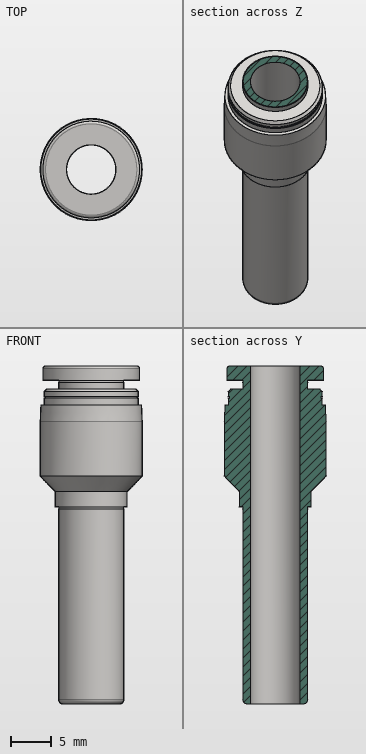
import cadquery as cq

total_height = 41.35
cap_bottom = 39.57
neck_relief_bottom = 39.32
ring_top = 38.55
ring_edge = 38.2
ring_groove_top = 37.6
ring_groove_bottom = 37.42
body_top = 36.6
taper_bottom = 34.55
cone_top = 27.85
collar_top = 25.95
collar_bottom = 24.1
tube_relief_bottom = 23.85

bore_diameter = 6.0
tube_diameter = 8.0
relief_diameter = 7.9
collar_diameter = 8.8
body_diameter = 12.5
body_top_diameter = 12.32
ring_diameter = 11.55
ring_top_diameter = 10.9
ring_groove_diameter = 11.3
cap_diameter = 11.83

tube_end_radius = 0.58
cap_edge_radius = 0.35


def frustum(bottom, top, bottom_diameter, top_diameter):
    """Coaxial solid between two heights, with a straight or tapered side."""
    profile = [
        (0, bottom),
        (bottom_diameter / 2, bottom),
        (top_diameter / 2, top),
        (0, top),
    ]
    return cq.Workplane("XZ").polyline(profile).close().revolve(360, (0, 0), (0, 1))


def cylinder(bottom, top, diameter):
    return frustum(bottom, top, diameter, diameter)


tube = cylinder(0, tube_relief_bottom, tube_diameter).faces("<Z").edges().fillet(tube_end_radius)
tube = tube.union(cylinder(tube_relief_bottom, collar_bottom, relief_diameter))

body = cylinder(collar_bottom, collar_top, collar_diameter)
body = body.union(frustum(collar_top, cone_top, collar_diameter, body_diameter))
body = body.union(cylinder(cone_top, taper_bottom, body_diameter))
body = body.union(frustum(taper_bottom, body_top, body_diameter, body_top_diameter))

ring = cylinder(body_top, ring_groove_bottom, ring_diameter)
ring = ring.union(cylinder(ring_groove_bottom, ring_groove_top, ring_groove_diameter))
ring = ring.union(cylinder(ring_groove_top, ring_edge, ring_diameter))
ring = ring.union(frustum(ring_edge, ring_top, ring_diameter, ring_top_diameter))

button = cylinder(ring_top, neck_relief_bottom, tube_diameter)
button = button.union(cylinder(neck_relief_bottom, cap_bottom, relief_diameter))
cap = cylinder(cap_bottom, total_height, cap_diameter).faces(">Z").edges().fillet(cap_edge_radius)
button = button.union(cap)

bore = cylinder(0, total_height, bore_diameter)

result = tube.union(body).union(ring).union(button).cut(bore)